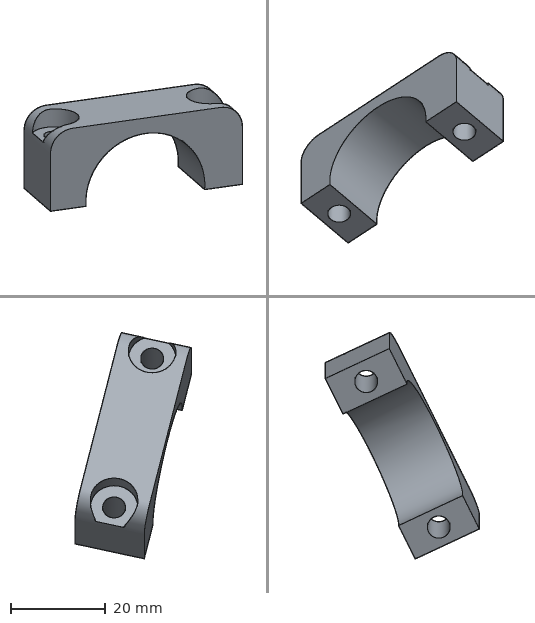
import cadquery as cq

width = 15.0
height = 18.0
saddle_diameter = 27.0
saddle_axis_height = 1.0
front_leg = 8.05
back_leg = 8.55
front_screw_inset = 4.1
back_screw_inset = 4.35
corner_radius = 5.0
hole_diameter = 4.8
counterbore_diameter = 10.0
counterbore_depth = 4.0

saddle_radius = saddle_diameter / 2
front_end = -saddle_radius - front_leg
back_end = saddle_radius + back_leg
length = back_end - front_end

screw_positions = [
    (0, front_end + front_screw_inset),
    (0, back_end - back_screw_inset),
]


def make_block():
    """Solid block with its two top end edges rounded."""
    block = cq.Workplane("XY").box(width, length, height, centered=(True, True, False))
    block = block.edges("|X and >Z").fillet(corner_radius)
    return block.translate((0, (front_end + back_end) / 2, 0))


def make_saddle():
    """Round opening with its axis just above the feet."""
    return (
        cq.Workplane("YZ", origin=(-width / 2, 0, saddle_axis_height))
        .circle(saddle_radius)
        .extrude(width)
    )


def make_screw_holes():
    """Through holes with flat counterbores sunk from the top."""
    shank_centers = cq.Workplane("XY").pushPoints(screw_positions)
    shanks = shank_centers.circle(hole_diameter / 2).extrude(height)
    heads = (
        cq.Workplane("XY", origin=(0, 0, height - counterbore_depth))
        .pushPoints(screw_positions)
        .circle(counterbore_diameter / 2)
        .extrude(counterbore_depth)
    )
    return shanks.union(heads)


result = make_block().cut(make_saddle()).cut(make_screw_holes())